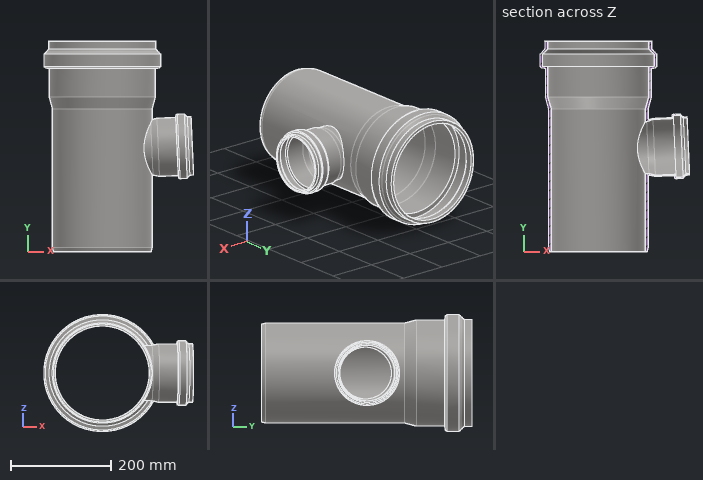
import cadquery as cq

main_length = 421.0
main_diameter = 200.3
main_bore = 187.7
spigot_chamfer_length = 8.5
spigot_end_diameter = 195.7

main_socket = dict(
    lip_diameter=214.5,
    shoulder_diameter=226.0,
    collar_diameter=234.2,
    collar_back_diameter=228.0,
    body_diameter=212.7,
    pipe_diameter=main_diameter,
    socket_bore=201.5,
    groove_diameter=223.0,
    pipe_bore=main_bore,
    lip_depth=15.5,
    shoulder_depth=22.0,
    collar_start_depth=26.0,
    collar_end_depth=50.3,
    collar_back_depth=53.6,
    neck_depth=54.9,
    body_depth=111.5,
    taper_depth=135.0,
)

branch_position = 204.1
branch_lean = 2.5
right_angle = 90
full_turn = 360
branch_length = 180.47

branch_socket = dict(
    lip_diameter=117.4,
    shoulder_diameter=124.0,
    collar_diameter=129.6,
    collar_back_diameter=127.0,
    body_diameter=117.0,
    pipe_diameter=110.8,
    socket_bore=111.2,
    groove_diameter=123.4,
    pipe_bore=103.5,
    lip_depth=7.7,
    shoulder_depth=11.4,
    collar_start_depth=13.5,
    collar_end_depth=27.5,
    collar_back_depth=30.5,
    neck_depth=31.2,
    body_depth=68.5,
    taper_depth=81.3,
)


def revolve_profile(steps):
    """Solid of revolution about Y from (diameter, y) steps, closed along the axis."""
    first_y = steps[0][1]
    last_y = steps[-1][1]
    outline = [(0, first_y)] + [(diameter / 2, y) for diameter, y in steps] + [(0, last_y)]
    return cq.Workplane("XY").polyline(outline).close().revolve(full_turn, (0, 0), (0, 1))


def socket_outside(socket, mouth):
    """Outer steps of a socket, from the mouth back to the plain pipe."""
    return [
        (socket["lip_diameter"], mouth),
        (socket["lip_diameter"], mouth - socket["lip_depth"]),
        (socket["shoulder_diameter"], mouth - socket["shoulder_depth"]),
        (socket["collar_diameter"], mouth - socket["collar_start_depth"]),
        (socket["collar_diameter"], mouth - socket["collar_end_depth"]),
        (socket["collar_back_diameter"], mouth - socket["collar_back_depth"]),
        (socket["body_diameter"], mouth - socket["neck_depth"]),
        (socket["body_diameter"], mouth - socket["body_depth"]),
        (socket["pipe_diameter"], mouth - socket["taper_depth"]),
    ]


def socket_inside(socket, mouth):
    """Inner steps of a socket with its seal groove, from the mouth back to the pipe bore."""
    return [
        (socket["socket_bore"], mouth),
        (socket["socket_bore"], mouth - socket["lip_depth"]),
        (socket["groove_diameter"], mouth - socket["collar_start_depth"]),
        (socket["groove_diameter"], mouth - socket["collar_end_depth"]),
        (socket["socket_bore"], mouth - socket["collar_end_depth"]),
        (socket["socket_bore"], mouth - socket["body_depth"]),
        (socket["pipe_bore"], mouth - socket["taper_depth"]),
    ]


def main_body():
    spigot = [(main_diameter, spigot_chamfer_length), (spigot_end_diameter, 0)]
    return revolve_profile(socket_outside(main_socket, main_length) + spigot)


def main_cavity():
    return revolve_profile(socket_inside(main_socket, main_length) + [(main_bore, 0)])


def place_branch(solid):
    """Turn a solid standing on Y into the branch direction and move it to the junction."""
    leaned = solid.rotate((0, 0, 0), (0, 0, 1), branch_lean - right_angle)
    return leaned.translate((0, branch_position, 0))


def branch_body():
    root = [(branch_socket["pipe_diameter"], 0)]
    return place_branch(revolve_profile(socket_outside(branch_socket, branch_length) + root))


def branch_cavity():
    root = [(branch_socket["pipe_bore"], 0)]
    return place_branch(revolve_profile(socket_inside(branch_socket, branch_length) + root))


result = main_body().union(branch_body()).cut(main_cavity()).cut(branch_cavity())